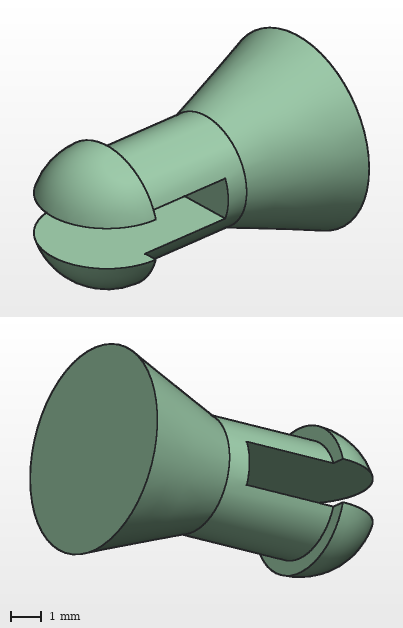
import cadquery as cq
import math

total_length = 10.68
flare_diameter = 7.0
flare_length = 4.0
stem_diameter = 4.0
head_diameter = 5.0
slot_height = 1.5
slot_depth = 5.87

head_radius = head_diameter / 2
head_reach = math.sqrt(head_radius**2 - (slot_height / 2) ** 2)
stem_end = total_length - head_reach


def make_body():
    """Flare, stem and hemispherical head revolved about the part's axis."""
    half_profile = (
        cq.Workplane("XY")
        .lineTo(flare_diameter / 2, 0)
        .lineTo(stem_diameter / 2, -flare_length)
        .lineTo(stem_diameter / 2, -stem_end)
        .lineTo(head_radius, -stem_end)
        .radiusArc((0, -stem_end - head_radius), head_radius)
        .close()
    )
    return half_profile.revolve(360, (0, 0, 0), (0, 1, 0))


def make_slot():
    """Slot through the full width, open at the head end."""
    slot_bottom = total_length - slot_depth
    cutter_end = stem_end + head_diameter
    return (
        cq.Workplane("XY")
        .box(2 * head_diameter, cutter_end - slot_bottom, slot_height)
        .translate((0, -(slot_bottom + cutter_end) / 2, 0))
    )


result = make_body().cut(make_slot())